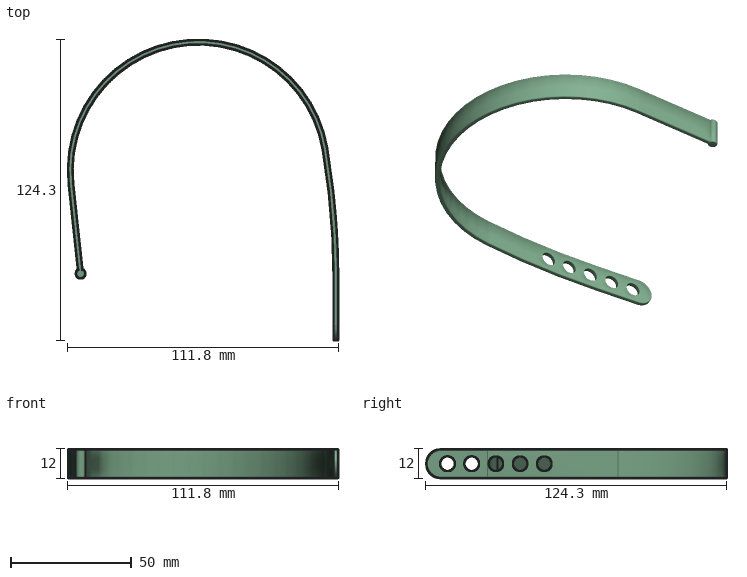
import cadquery as cq
import math

strap_height = 12.0
strap_thickness = 2.0
edge_fillet = 0.5
bend_outer_radius = 54.0
outer_width = 111.77
outer_length = 124.34
left_leg_lean = 6.1
pin_diameter = 4.0
pin_centre_y = -42.7
straight_start_y = -45.0
hole_diameter = 6.0
hole_rim_fillet = 0.2
hole_count = 5
hole_pitch = 10.0
tip_to_first_hole = 8.8

bend_radius = bend_outer_radius - strap_thickness / 2
right_leg_x = outer_width - bend_outer_radius - strap_thickness / 2
tip_y = bend_outer_radius - outer_length
lean = math.radians(left_leg_lean)
bend_start_angle = math.pi + lean

flare_angle = 2 * math.atan((right_leg_x - bend_radius) / -straight_start_y)
flare_radius = bend_radius - straight_start_y / math.sin(flare_angle)
flare_centre = (right_leg_x - flare_radius, straight_start_y)


def on_arc(radius, angle, centre=(0.0, 0.0)):
    return (centre[0] + radius * math.cos(angle), centre[1] + radius * math.sin(angle))


bend_start = on_arc(bend_radius, bend_start_angle)
left_leg_length = (bend_start[1] - pin_centre_y) / math.cos(lean)
pin_centre = (bend_start[0] + left_leg_length * math.sin(lean), pin_centre_y)


def make_band():
    """Bent band of constant thickness, square at both ends."""
    inner = -strap_thickness / 2
    outer = strap_thickness / 2

    def leg_end(offset):
        return on_arc(offset, bend_start_angle, pin_centre)

    def bend_point(offset, angle):
        return on_arc(bend_radius + offset, angle)

    def flare_point(offset, angle):
        return on_arc(flare_radius + offset, angle, flare_centre)

    outline = (
        cq.Workplane("XY")
        .moveTo(*leg_end(outer))
        .lineTo(*bend_point(outer, bend_start_angle))
        .threePointArc(bend_point(outer, math.pi / 2), bend_point(outer, flare_angle))
        .threePointArc(flare_point(outer, flare_angle / 2), flare_point(outer, 0))
        .lineTo(right_leg_x + outer, tip_y)
        .lineTo(right_leg_x + inner, tip_y)
        .lineTo(*flare_point(inner, 0))
        .threePointArc(flare_point(inner, flare_angle / 2), flare_point(inner, flare_angle))
        .threePointArc(bend_point(inner, math.pi / 2), bend_point(inner, bend_start_angle))
        .lineTo(*leg_end(inner))
        .close()
    )
    return outline.extrude(strap_height / 2, both=True)


def make_strap():
    """Band with a fully rounded tip and filleted long edges."""
    tip_radius = strap_height / 2
    side_profile = (
        cq.Workplane("YZ")
        .moveTo(bend_outer_radius, tip_radius)
        .lineTo(tip_y + tip_radius, tip_radius)
        .threePointArc((tip_y, 0), (tip_y + tip_radius, -tip_radius))
        .lineTo(bend_outer_radius, -tip_radius)
        .close()
        .extrude(outer_width, both=True)
    )
    rounded = make_band().intersect(side_profile)
    long_edges = rounded.edges("not |Z").filter(lambda edge: edge.Length() > 2 * strap_thickness)
    return long_edges.fillet(edge_fillet)


def make_pin():
    """Upright pin at the end of the left leg, rounded at both ends."""
    section = cq.Workplane("XY").center(*pin_centre).circle(pin_diameter / 2)
    cylinder = section.extrude(strap_height / 2, both=True)
    return cylinder.faces("<Z or >Z").fillet(edge_fillet)


def drill_adjustment_holes(strap):
    """Row of holes along X through the right leg, with softly rounded rims."""
    first_hole_y = tip_y + tip_to_first_hole
    centres = [(first_hole_y + i * hole_pitch, 0) for i in range(hole_count)]
    drills = cq.Workplane("YZ").pushPoints(centres).circle(hole_diameter / 2).extrude(outer_width)
    drilled = strap.cut(drills)
    reach = (hole_diameter + strap_thickness) / 2
    hole_zone = cq.selectors.BoxSelector(
        (0, first_hole_y - reach, -reach),
        (outer_width, centres[-1][0] + reach, reach),
        boundingbox=True,
    )
    rims = drilled.edges(hole_zone).filter(lambda edge: edge.Length() > hole_diameter)
    return rims.fillet(hole_rim_fillet)


result = drill_adjustment_holes(make_strap()).union(make_pin())